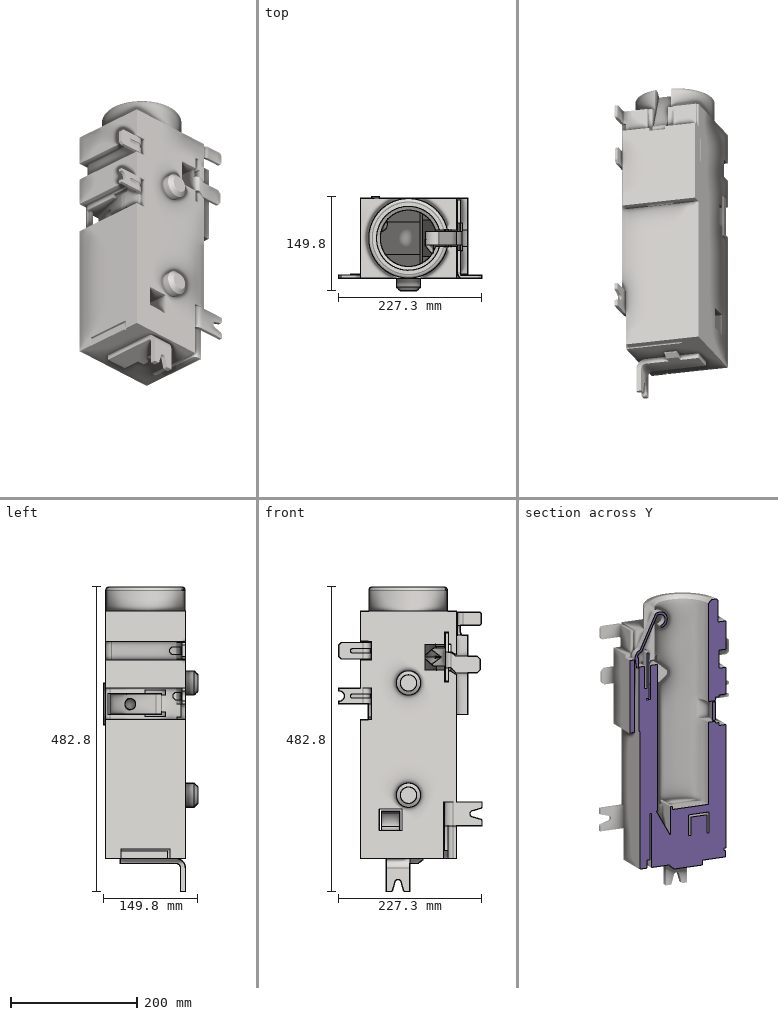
import cadquery as cq

BODY_HALF_X = 76.2
BODY_HALF_Y = 63.5
BODY_HEIGHT = 392.0
FRONT = -BODY_HALF_Y
BACK = BODY_HALF_Y
LEFT = -BODY_HALF_X
RIGHT = BODY_HALF_X

BARREL_RADIUS = 63.0
BARREL_HEIGHT = 38.5
BARREL_TOP = BODY_HEIGHT + BARREL_HEIGHT
RIM_ROUND = 5.5
BORE_RADIUS = 44.7
BORE_CHAMFER = 6.0
BORE_FLOOR = 92.0

LEDGE_RIGHT = 94.0
LEDGE_FRONT = -57.0
LEDGE_BOTTOM = 228.0
LEDGE_TOP = 354.0

PEG_RADIUS = 19.3
PEG_LENGTH = 20.0
PEG_CHAMFER = 6.3
PEG_HEIGHTS = (100.4, 278.3)

SHEET = 5.5
HEAVY_SHEET = 8.0
WIDE_BEND = 13.3
TIGHT_BEND = 8.5
LEFT_TIP = -110.7
RIGHT_TIP = 116.58
BOTTOM_TIP = -52.27

DIAGONAL = 0.5 ** 0.5


def box(x0, x1, y0, y1, z0, z1):
    return cq.Workplane("XY").box(x1 - x0, y1 - y0, z1 - z0, centered=False).translate((x0, y0, z0))


def prism_z(outline, z0, z1):
    """Extrude a closed XY outline from z0 to z1."""
    return outline.extrude(z1 - z0).translate((0, 0, z0))


def prism_y(outline, y0, y1):
    """Extrude a closed XZ outline from y0 to y1."""
    return outline.extrude(-(y1 - y0)).translate((0, y0, 0))


def bent_outline(base, side, front, thickness, bend, tip, tail):
    """L-shaped XY outline: a leg at x = base along Y, bent outward (side = +1 or -1) to a tip."""
    bend_x = base + side * bend
    bend_y = front + bend
    inner = bend - thickness
    return (
        cq.Workplane("XY")
        .moveTo(tip, front)
        .lineTo(bend_x, front)
        .threePointArc((bend_x - side * bend * DIAGONAL, bend_y - bend * DIAGONAL), (base, bend_y))
        .lineTo(base, tail)
        .lineTo(base + side * thickness, tail)
        .lineTo(base + side * thickness, bend_y)
        .threePointArc(
            (bend_x - side * inner * DIAGONAL, bend_y - inner * DIAGONAL), (bend_x, front + thickness)
        )
        .lineTo(tip, front + thickness)
        .close()
    )


def fork_notch():
    """Closed notch outline pointing to -X, with flared lips at x = 0."""
    depth = 19.0
    root = -14.0
    root_half = 5.0
    lip = -4.0
    lip_half = 8.0
    lip_middle = (-1.2, 8.9)
    mouth_half = 10.5
    overshoot = 2.0
    return (
        cq.Workplane("XZ")
        .moveTo(overshoot, -mouth_half)
        .lineTo(0, -mouth_half)
        .threePointArc((lip_middle[0], -lip_middle[1]), (lip, -lip_half))
        .lineTo(root, -root_half)
        .threePointArc((-depth, 0), (root, root_half))
        .lineTo(lip, lip_half)
        .threePointArc(lip_middle, (0, mouth_half))
        .lineTo(overshoot, mouth_half)
        .close()
    )


def make_housing():
    body = box(LEFT, RIGHT, FRONT, BACK, 0, BODY_HEIGHT)
    ledge = box(RIGHT, LEDGE_RIGHT, LEDGE_FRONT, BACK, LEDGE_BOTTOM, LEDGE_TOP)
    barrel = cq.Workplane("XY").circle(BARREL_RADIUS).extrude(BARREL_TOP)
    barrel = barrel.faces(">Z").edges().fillet(RIM_ROUND)
    bore = cq.Workplane("XY").circle(BORE_RADIUS).extrude(BARREL_TOP - BORE_FLOOR)
    bore = bore.translate((0, 0, BORE_FLOOR))
    mouth = cq.Workplane("XY").circle(BORE_RADIUS + BORE_CHAMFER).workplane(offset=-BORE_CHAMFER)
    mouth = mouth.circle(BORE_RADIUS).loft().translate((0, 0, BARREL_TOP))
    return body.union(ledge).union(barrel).cut(bore).cut(mouth)


def make_peg(height):
    peg = cq.Workplane("XZ").center(0, height).circle(PEG_RADIUS).extrude(PEG_LENGTH)
    return peg.faces("<Y").chamfer(PEG_CHAMFER).translate((0, FRONT, 0))


def add_pegs(part):
    for height in PEG_HEIGHTS:
        part = part.union(make_peg(height))
    return part


def shape_bore_floor(part):
    """Raised pads and a cross wall on the bore floor, with a steep ramp sunk beside the wall."""
    pad_height = 2.0
    wall_height = 5.0
    pad_inner_y = 26.0
    wall_left = 18.0
    wall_right = 22.0
    ramp_right = 46.0
    ramp_depth = 42.0
    ramp_half_width = 29.0
    reach = BORE_RADIUS
    pad_top = BORE_FLOOR + pad_height
    front_pad = box(-reach, wall_left, -reach, -pad_inner_y, BORE_FLOOR, pad_top)
    back_pad = box(-reach, wall_left, pad_inner_y, reach, BORE_FLOOR, pad_top)
    wall = box(wall_left, wall_right, -reach, reach, BORE_FLOOR, BORE_FLOOR + wall_height)
    ramp = (
        cq.Workplane("XZ")
        .polyline([
            (wall_right, BORE_FLOOR),
            (ramp_right, BORE_FLOOR),
            (wall_right, BORE_FLOOR - ramp_depth),
        ])
        .close()
    )
    part = part.union(front_pad).union(back_pad).union(wall)
    return part.cut(prism_y(ramp, -ramp_half_width, ramp_half_width))


SLOT_FLOOR = -58.5
UPPER_SLOT = (315.0, 344.2)
LOWER_SLOT = (220.2, 269.9)
UPPER_TAB = (316.0, 342.6)
LOWER_TAB = (245.0, 270.0)
UPPER_REAR_BEND = 10.0
LOWER_REAR_BEND = 7.0
REAR_HOOK = 6.0
WINDOW = (228.0, 261.5)
LEAF_ROOT = -25.5
BEAD_HEIGHT = 1.4
BEAD_TIP = -92.0
BEAD_WIDTH = 12.0
GROOVE_WIDTH = 6.5
GROOVE_END_ROUND = 3.0


def left_terminal(tab, slot, bead_tail, rear_bend):
    """Sheet lying on the slot floor, bent out to a tab and stiffened by a bead across the bend."""
    strip = box(SLOT_FLOOR - SHEET, SLOT_FLOOR, FRONT + WIDE_BEND, BACK, slot[0], slot[1])
    hook = box(SLOT_FLOOR, SLOT_FLOOR + REAR_HOOK, BACK - rear_bend, BACK, slot[0], slot[1])
    strip = strip.union(hook).edges("<X and >Y").fillet(rear_bend)
    tongue = prism_z(
        bent_outline(SLOT_FLOOR, -1, FRONT, SHEET, WIDE_BEND, LEFT_TIP, 0), tab[0], tab[1]
    )
    middle = (tab[0] + tab[1]) / 2
    bead_outline = bent_outline(
        SLOT_FLOOR - SHEET, -1, FRONT + SHEET, BEAD_HEIGHT, WIDE_BEND - SHEET, BEAD_TIP, bead_tail
    )
    bead = prism_z(bead_outline, middle - BEAD_WIDTH / 2, middle + BEAD_WIDTH / 2)
    bead = bead.edges(">Y and |X").chamfer(BEAD_WIDTH / 3)
    groove_outline = bent_outline(SLOT_FLOOR, -1, FRONT, BEAD_HEIGHT, WIDE_BEND, BEAD_TIP, bead_tail)
    groove = prism_z(groove_outline, middle - GROOVE_WIDTH / 2, middle + GROOVE_WIDTH / 2)
    groove = groove.edges("<X and |Y").fillet(GROOVE_END_ROUND)
    return strip.union(tongue).union(bead).cut(groove)


def upper_left_terminal():
    corner = 4.0
    bead_tail = -38.0
    terminal = left_terminal(UPPER_TAB, UPPER_SLOT, bead_tail, UPPER_REAR_BEND)
    return terminal.edges("<X and |Y").chamfer(corner)


def spring_leaf():
    """Slanted leaf reaching from the strip into the bore, with a hollow contact dimple."""
    leaf_thickness = 4.0
    leaf_bend = -16.8
    leaf_end = -41.0
    leaf_back = 56.0
    dimple_radius = 12.5
    dimple_hollow = 10.0
    dimple_center = (-46.0, 22.5, 244.8)
    leaf = (
        cq.Workplane("XY")
        .polyline([
            (SLOT_FLOOR - SHEET, LEAF_ROOT),
            (SLOT_FLOOR - SHEET + 1, leaf_bend),
            (leaf_end, leaf_back),
            (leaf_end + leaf_thickness, leaf_back),
            (SLOT_FLOOR, LEAF_ROOT),
        ])
        .close()
    )
    leaf = prism_z(leaf, WINDOW[0] + 1, WINDOW[1] - 1)
    inner_half = box(dimple_center[0], 0, FRONT, BACK, WINDOW[0], WINDOW[1])
    dimple = cq.Workplane("XY").sphere(dimple_radius).translate(dimple_center).intersect(inner_half)
    hollow = cq.Workplane("XY").sphere(dimple_hollow).translate(dimple_center)
    return leaf.union(dimple).cut(hollow)


def lower_left_terminal():
    bead_tail = -43.5
    terminal = left_terminal(LOWER_TAB, LOWER_SLOT, bead_tail, LOWER_REAR_BEND)
    notch_radius = 8.0
    notch = cq.Workplane("XZ").center(LEFT_TIP + 1, sum(LOWER_TAB) / 2).circle(notch_radius)
    terminal = terminal.cut(prism_y(notch, FRONT - 1, FRONT + SHEET + 1))

    terminal = terminal.cut(box(LEFT, SLOT_FLOOR, LEAF_ROOT, BACK - 4, WINDOW[0], WINDOW[1]))
    relief_front = -31.5
    relief_back = 0.4
    relief_height = 7.5
    for bottom in (WINDOW[0] - 3.0, WINDOW[1] - 2.0):
        terminal = terminal.cut(
            box(LEFT, SLOT_FLOOR, relief_front, relief_back, bottom, bottom + relief_height)
        )
    foot_front = FRONT + 7.0
    foot_bottom = 224.7
    foot = box(
        SLOT_FLOOR - SHEET, SLOT_FLOOR, foot_front, FRONT + WIDE_BEND, foot_bottom, LOWER_TAB[0]
    )
    rear_plate_right = -46.3
    rear_plate_proud = 2.82
    rear_plate_bottom, rear_plate_top = 212.0, 278.0
    rear_plate = box(
        SLOT_FLOOR, rear_plate_right, BACK - 1, BACK + rear_plate_proud, rear_plate_bottom, rear_plate_top
    )
    return terminal.union(foot).union(rear_plate).union(spring_leaf())


def cut_left_slots(part):
    slots = ((UPPER_SLOT, UPPER_REAR_BEND), (LOWER_SLOT, LOWER_REAR_BEND))
    for (bottom, top), rear_bend in slots:
        part = part.cut(box(LEFT, SLOT_FLOOR, FRONT, BACK, bottom, top))
        hook_right = SLOT_FLOOR + REAR_HOOK
        part = part.cut(box(SLOT_FLOOR, hook_right, BACK - rear_bend, BACK, bottom, top))
    opening_right = -33.0
    return part.cut(box(SLOT_FLOOR, opening_right, LEAF_ROOT, BACK, WINDOW[0], WINDOW[1]))


ARM_HALF_WIDTH = 10.8
ARM_SLOT_HALF_WIDTH = 13.2
ARM_SLOT_BOTTOM = 336.0
ARM_THICKNESS = 4.7
FLANK_SHEET = 77.6
FLANK_TOP = 390.6
RELIEF_FRONT = -19.6
RELIEF_BACK = 24.0


def cut_arm_slot(part):
    """Slot across the rim and the right wall for the arm, with clearance for the sheet in the ledge."""
    half = ARM_SLOT_HALF_WIDTH
    slot_right = FLANK_SHEET + ARM_THICKNESS
    relief_right = 85.0
    pocket_depth = 5.0
    slot = box(0, slot_right, -half, half, ARM_SLOT_BOTTOM, BARREL_TOP)
    relief = box(FLANK_SHEET, relief_right, RELIEF_FRONT, RELIEF_BACK, LEDGE_BOTTOM, LEDGE_TOP)
    pocket = box(FLANK_SHEET, LEDGE_RIGHT, -half, half, LEDGE_TOP - pocket_depth, LEDGE_TOP)
    return part.cut(slot).cut(relief).cut(pocket)


def contact_arm():
    """Strip rising from the right wall over the rim of the bore and hooking down inside it."""
    middle_x = FLANK_SHEET + ARM_THICKNESS / 2
    knee_start = (middle_x + 2.5, 350.0)
    knee_middle = (80.5, 357.0)
    knee_end = (74.0, 362.0)
    hook_start = (46.5, 418.5)
    hook_middle = (32.0, 416.0)
    hook_end = (37.0, 398.0)
    return (
        cq.Workplane("XZ")
        .moveTo(middle_x, ARM_SLOT_BOTTOM)
        .lineTo(*knee_start)
        .threePointArc(knee_middle, knee_end)
        .lineTo(*hook_start)
        .threePointArc(hook_middle, hook_end)
        .offset2D(ARM_THICKNESS / 2)
        .extrude(ARM_HALF_WIDTH, both=True)
    )


def upper_right_terminal():
    tab_bottom = 369.6
    corner = 4.0
    plate_back = 61.0
    plate_overlap = 14.0
    plate_bottom = LEDGE_TOP - plate_overlap
    tip = RIGHT_TIP - 1.0
    plate_right = FLANK_SHEET + ARM_THICKNESS
    gap_bottom = 352.0
    outline = bent_outline(FLANK_SHEET, 1, FRONT, ARM_THICKNESS, TIGHT_BEND, tip, 0)
    tab = prism_z(outline, tab_bottom, FLANK_TOP).edges(">X and |Y").fillet(corner)
    plate = box(FLANK_SHEET, plate_right, FRONT + TIGHT_BEND, plate_back, plate_bottom, FLANK_TOP)
    gap = box(FLANK_SHEET, plate_right, RELIEF_FRONT, RELIEF_BACK, gap_bottom, FLANK_TOP)
    return tab.union(plate).cut(gap).union(contact_arm())


WINDOW_LEFT = 26.5
CONTACT_WINDOW = (298.8, 339.5)
CONTACT_SLOT = (279.7, 358.7)
CONTACT_SLOT_LEFT = 57.3
CONTACT_SLOT_RIGHT = 63.5
CONTACT_SHEET = 59.0
CONTACT_THICKNESS = 4.5
CONTACT_DEPTH = 35.0


def cut_contact_recess(part):
    slit_right = 67.0
    seat_left = 60.0
    seat_shoulder = 75.0
    neck_bottom, neck_top = 297.0, 328.0
    mouth_bottom, mouth_top = 292.0, 323.5
    window = box(WINDOW_LEFT, CONTACT_SLOT_LEFT, FRONT, 0, *CONTACT_WINDOW)
    slot = box(CONTACT_SLOT_LEFT, CONTACT_SLOT_RIGHT, FRONT, CONTACT_DEPTH, *CONTACT_SLOT)
    slit = box(CONTACT_SLOT_RIGHT, slit_right, FRONT, BACK, *CONTACT_WINDOW)
    tab_seat = (
        cq.Workplane("XZ")
        .polyline([
            (seat_left, neck_top),
            (slit_right, neck_top),
            (seat_shoulder, mouth_top),
            (RIGHT, mouth_top),
            (RIGHT, mouth_bottom),
            (seat_shoulder, mouth_bottom),
            (slit_right, neck_bottom),
            (seat_left, neck_bottom),
        ])
        .close()
    )
    tab_seat = prism_y(tab_seat, FRONT, LEDGE_FRONT)
    return part.cut(window).cut(slot).cut(slit).cut(tab_seat)


def middle_right_terminal():
    tip = 113.8
    tab_bottom = 294.3
    tab_top = 320.8
    neck_bottom = 302.0
    neck_top = 327.0
    neck_end = 67.5
    shoulder = 75.0
    corner = 5.0
    plate_margin = 1.5
    outline = bent_outline(CONTACT_SHEET, 1, FRONT, CONTACT_THICKNESS, TIGHT_BEND, tip, 0)
    face = (
        cq.Workplane("XZ")
        .polyline([
            (CONTACT_SHEET, neck_bottom),
            (neck_end, neck_bottom),
            (shoulder, tab_bottom),
            (tip - corner, tab_bottom),
            (tip, tab_bottom + corner),
            (tip, tab_top - corner),
            (tip - corner, tab_top),
            (shoulder, tab_top),
            (neck_end, neck_top),
            (CONTACT_SHEET, neck_top),
        ])
        .close()
    )
    tab = prism_z(outline, tab_bottom, neck_top).intersect(prism_y(face, FRONT - 1, 1))
    plate = box(
        CONTACT_SHEET,
        CONTACT_SHEET + CONTACT_THICKNESS,
        FRONT + TIGHT_BEND,
        CONTACT_DEPTH,
        CONTACT_SLOT[0] + plate_margin,
        CONTACT_SLOT[1] - plate_margin,
    )
    return tab.union(plate).union(contact_nose())


def contact_nose():
    """Pointed tongue reaching from the sheet into the bore, with a tapering valley open to the front."""
    middle = 319.3
    half_height = 14.5
    nose_shoulder = 40.0
    nose_tip_half_height = 3.0
    nose_front = -24.0
    nose_thickness = 22.0
    valley_tip = 51.8
    valley_half_height = 19.0
    valley_depth = 15.0
    point_size = 0.01
    tongue = (
        cq.Workplane("XZ")
        .polyline([
            (CONTACT_SHEET + 1, middle - half_height),
            (nose_shoulder, middle - half_height),
            (WINDOW_LEFT, middle - nose_tip_half_height),
            (WINDOW_LEFT, middle + nose_tip_half_height),
            (nose_shoulder, middle + half_height),
            (CONTACT_SHEET + 1, middle + half_height),
        ])
        .close()
    )
    tongue = prism_y(tongue, nose_front, nose_front + nose_thickness)
    valley = cq.Workplane("YZ")
    for scale, offset in ((1, 0), (point_size, valley_tip - WINDOW_LEFT)):
        valley = valley.workplane(offset=offset).polyline(
            [(0, -valley_half_height * scale), (valley_depth * scale, 0), (0, valley_half_height * scale)]
        ).close()
    valley = valley.loft().translate((WINDOW_LEFT, nose_front, middle))
    return tongue.cut(valley)


FORK_TAB = (51.9, 90.0)
FORK_SHEET = 57.1
FORK_SLOT = (55.5, FORK_SHEET + SHEET)
FORK_SLOT_DEPTH = 30.0


def cut_fork_recess(part):
    slot_left, slot_right = FORK_SLOT
    round_radius = 8.0
    round_offset = round_radius * (1 - DIAGONAL)
    outline = (
        cq.Workplane("XY")
        .moveTo(slot_left, FRONT)
        .lineTo(RIGHT, FRONT)
        .lineTo(RIGHT, LEDGE_FRONT)
        .lineTo(slot_right + round_radius, LEDGE_FRONT)
        .threePointArc(
            (slot_right + round_offset, LEDGE_FRONT + round_offset), (slot_right, LEDGE_FRONT + round_radius)
        )
        .lineTo(slot_right, FORK_SLOT_DEPTH)
        .lineTo(slot_left, FORK_SLOT_DEPTH)
        .close()
    )
    return part.cut(prism_z(outline, 0, FORK_TAB[1]))


def lower_right_terminal():
    sheet_bottom = 13.0
    outline = bent_outline(FORK_SHEET, 1, FRONT, SHEET, WIDE_BEND, RIGHT_TIP, FORK_SLOT_DEPTH)
    tab = prism_z(outline, *FORK_TAB)
    notch = prism_y(fork_notch(), FRONT - 1, FRONT + SHEET + 1)
    tab = tab.cut(notch.translate((RIGHT_TIP, 0, sum(FORK_TAB) / 2)))
    sheet = box(
        FORK_SHEET, FORK_SLOT[1], FRONT + WIDE_BEND, FORK_SLOT_DEPTH, sheet_bottom, FORK_TAB[1]
    )
    return tab.union(sheet)


FOOT_X = (-35.4, 2.1)
FOOT_BACK = 40.0
FOOT_BEND = 15.0
LATCH_WINDOW_X = (-46.0, -10.7)
LATCH_WINDOW_Z = (44.7, 78.4)


def cut_latch_window(part):
    return part.cut(box(*LATCH_WINDOW_X, FRONT, BACK, *LATCH_WINDOW_Z))


def latch():
    """Ramp standing in the latch window."""
    side_gap = 3.0
    base = LATCH_WINDOW_Z[0]
    front_y, crest_y, back_y = -58.0, -30.0, 10.0
    sill_z, crest_z, top_z = 50.5, 72.0, 75.0
    ramp = (
        cq.Workplane("YZ")
        .polyline([
            (front_y, base),
            (front_y, sill_z),
            (crest_y, crest_z),
            (crest_y, top_z),
            (back_y, top_z),
            (back_y, base),
        ])
        .close()
        .extrude(LATCH_WINDOW_X[1] - LATCH_WINDOW_X[0] - 2 * side_gap)
    )
    return ramp.translate((LATCH_WINDOW_X[0] + side_gap, 0, 0))


def bottom_terminal():
    """Strip under the housing, bent down to a forked tab flush with the front face."""
    inner = FOOT_BEND - HEAVY_SHEET
    bend_y = FRONT + FOOT_BEND
    strip = (
        cq.Workplane("YZ")
        .moveTo(FOOT_BACK, 0)
        .lineTo(bend_y, 0)
        .threePointArc(
            (bend_y - FOOT_BEND * DIAGONAL, FOOT_BEND * (DIAGONAL - 1)), (FRONT, -FOOT_BEND)
        )
        .lineTo(FRONT, BOTTOM_TIP)
        .lineTo(FRONT + HEAVY_SHEET, BOTTOM_TIP)
        .lineTo(FRONT + HEAVY_SHEET, -FOOT_BEND)
        .threePointArc((bend_y - inner * DIAGONAL, inner * DIAGONAL - FOOT_BEND), (bend_y, -HEAVY_SHEET))
        .lineTo(FOOT_BACK, -HEAVY_SHEET)
        .close()
        .extrude(FOOT_X[1] - FOOT_X[0])
        .translate((FOOT_X[0], 0, 0))
    )
    notch = prism_y(fork_notch(), FRONT - 1, FRONT + HEAVY_SHEET + 1)
    notch = notch.rotate((0, 0, 0), (0, 1, 0), 90).translate((sum(FOOT_X) / 2, 0, BOTTOM_TIP))
    barb_half_width = 10.0
    barb_tip = 23.0
    barb_nose = 2.0
    barb_shoulder = 15.0
    barb = (
        cq.Workplane("XZ")
        .polyline([
            (FOOT_X[1], 0),
            (barb_tip, 0),
            (barb_tip, -barb_nose),
            (barb_shoulder, -HEAVY_SHEET),
            (FOOT_X[1], -HEAVY_SHEET),
        ])
        .close()
    )
    return strip.cut(notch).union(prism_y(barb, -barb_half_width, barb_half_width))


def add_side_insert(part):
    """Shallow pocket at the foot of the left wall, nearly filled by a flat insert."""
    pocket_depth = 3.0
    insert_recess = 0.5
    pocket_front, pocket_back, pocket_top = -38.6, 38.8, 14.9
    insert_gap = 3.3
    floor = LEFT + pocket_depth
    part = part.cut(box(LEFT, floor, pocket_front, pocket_back, 0, pocket_top))
    insert = box(
        LEFT + insert_recess, floor, pocket_front + insert_gap, pocket_back, 0, pocket_top - insert_gap
    )
    return part.union(insert)


part = make_housing()
part = shape_bore_floor(part)
part = add_pegs(part)
part = cut_left_slots(part)
part = cut_arm_slot(part)
part = cut_contact_recess(part)
part = cut_fork_recess(part)
part = cut_latch_window(part)
part = add_side_insert(part)

for feature in (
    upper_left_terminal(),
    lower_left_terminal(),
    upper_right_terminal(),
    middle_right_terminal(),
    lower_right_terminal(),
    latch(),
    bottom_terminal(),
):
    part = part.union(feature)

result = part